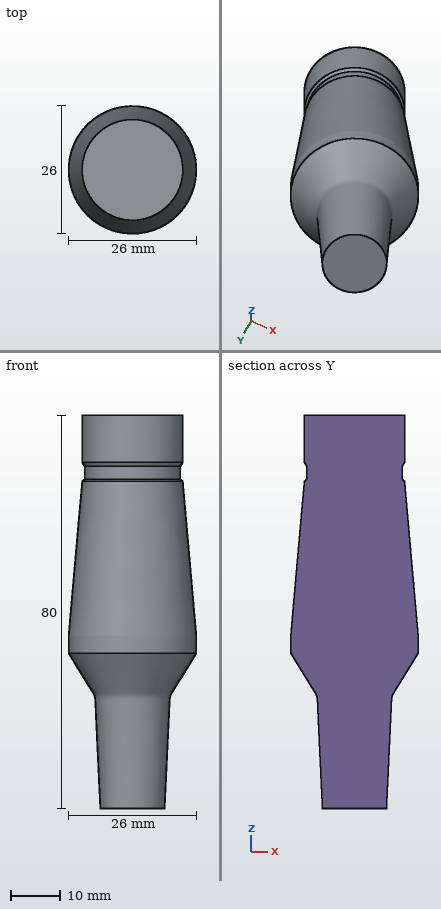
import cadquery as cq

total_height = 80.0
shank_height = 22.2
flare_start = 23.4
flare_end = 31.6
belt_top = 35.2
body_top = 66.6
groove_bottom = 67.0
groove_top = 69.6
head_bottom = 70.4

shank_bottom_radius = 6.6
shank_top_radius = 7.6
flare_start_radius = 7.9
belt_radius = 13.0
groove_radius = 9.8
head_radius = 10.2

half_section = (
    cq.Workplane("XZ")
    .lineTo(shank_bottom_radius, 0)
    .lineTo(shank_top_radius, shank_height)
    .tangentArcPoint((flare_start_radius, flare_start), relative=False)
    .lineTo(belt_radius, flare_end)
    .lineTo(belt_radius, belt_top)
    .lineTo(head_radius, body_top)
    .lineTo(groove_radius, groove_bottom)
    .lineTo(groove_radius, groove_top)
    .lineTo(head_radius, head_bottom)
    .lineTo(head_radius, total_height)
    .lineTo(0, total_height)
    .close()
)

result = half_section.revolve(360, (0, 0), (0, 1))